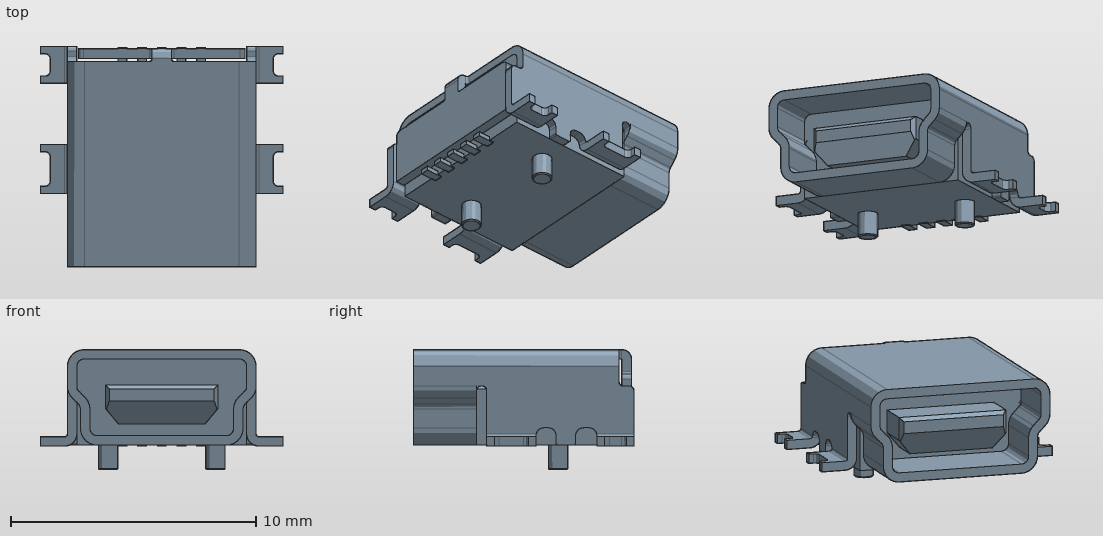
import cadquery as cq


SHEET = 0.39
BEND_OUTER = 0.69
BEND_INNER = BEND_OUTER - SHEET
SHELL_HALF = 3.85
SHELL_TOP = 3.94
SHELL_BOTTOM = 0.04
WAIST_STEP = 0.53
WAIST_HALF = SHELL_HALF - WAIST_STEP
WAIST_TOP = 2.17
WAIST_BOTTOM = WAIST_TOP - WAIST_STEP
INSIDE_HALF = SHELL_HALF - SHEET
INSIDE_TOP = SHELL_TOP - SHEET

MOUTH_LENGTH = 2.57
SLOT_END = 2.99
ROOF_END = 8.39
WALL_END = 9.0
WALL_STEP_Z = 2.46
WALL_STEP_RADIUS = 0.2

FOOT_TIP = 4.95
FOOT_BEND_INNER = 0.11
FOOT_BEND_OUTER = FOOT_BEND_INNER + SHEET
FRONT_FOOT = (SLOT_END, 5.0)
REAR_FOOT = (7.48, WALL_END)
NOTCH_DEPTH = 0.4
NOTCH_MARGIN = 0.31
NOTCH_RADIUS = 0.2
WALL_TAB = (5.82, 6.61)
TAB_CORNER = 0.08
RELIEF_TOP = 0.75
RELIEF_RADIUS = 0.33

FLAP_THICKNESS = 0.41
FLAP_BACK = 8.9
FLAP_FRONT = FLAP_BACK - FLAP_THICKNESS
FLAP_HALF = 3.4
FLAP_TOP = 2.94
FLAP_BOTTOM = 0.495
FLAP_CORNER = 0.21
NECK_HALF = 0.41
NECK_FILLET = 0.1
NECK_BEND = 0.4

BEVEL_BOTTOM = 2.34
GROOVE_LIP = 0.05
TONGUE_FRONT = 0.88
TONGUE_HALF = 2.3
TONGUE_TOP = 2.49
TONGUE_FLANK_BOTTOM = 1.54
TONGUE_BOTTOM = 0.91
TONGUE_BOTTOM_HALF = 1.77
TONGUE_CHAMFER = 0.16
RAMP_TOP = 1.84
RAMP_LENGTH = 0.33
PEG_X = 2.19
PEG_Y = 5.9
PEG_DIAMETER = 0.8
PEG_BOTTOM = -0.96
PEG_CHAMFER = 0.05
CONTACT_COUNT = 5
CONTACT_PITCH = 0.8
CONTACT_WIDTH = 0.37
CONTACT_THICKNESS = 0.2
CONTACT_END = 8.95


def block(x_range, y_range, z_range):
    """Axis-aligned box from three (low, high) pairs."""
    spans = (x_range, y_range, z_range)
    sizes = [high - low for low, high in spans]
    return cq.Workplane("XY").box(*sizes, centered=False).translate(tuple(low for low, _ in spans))


def along_y(points, y_start, y_end):
    """Prism of an XZ outline between two Y positions."""
    sketch = cq.Workplane("XZ", origin=(0, y_start, 0)).polyline(points).close()
    return sketch.extrude(y_start - y_end)


def both_sides(half):
    """A left-hand shape together with its mirror image across X = 0."""
    return half.union(half.mirror("YZ"))


def mirrored_outline(right_points):
    """Close a right-hand outline, listed top to bottom, with its mirror image."""
    return right_points + [(-x, z) for x, z in reversed(right_points)]


def mouth_tube():
    outline = mirrored_outline([
        (SHELL_HALF, SHELL_TOP),
        (SHELL_HALF, WAIST_TOP),
        (WAIST_HALF, WAIST_BOTTOM),
        (WAIST_HALF, SHELL_BOTTOM),
    ])
    inner_bends = cq.selectors.BoxSelector(
        (-SHELL_HALF, -0.1, WAIST_BOTTOM - 0.1), (SHELL_HALF, MOUTH_LENGTH + 0.1, WAIST_BOTTOM + 0.1)
    )
    solid = along_y(outline, 0, MOUTH_LENGTH)
    solid = solid.edges(inner_bends).edges("|Y").fillet(BEND_INNER)
    sharp_bends = cq.selectors.BoxSelector(
        (-SHELL_HALF - 0.1, 0, WAIST_TOP - 0.1), (SHELL_HALF + 0.1, MOUTH_LENGTH, SHELL_TOP + 0.1)
    )
    solid = solid.edges(sharp_bends).edges("|Y").fillet(BEND_OUTER)
    solid = solid.faces("<Z").edges("|Y").fillet(BEND_OUTER)
    opening = solid.faces("<Y").wires().toPending().offset2D(-SHEET).extrude(-MOUTH_LENGTH, combine=False)
    return solid.cut(opening)


def roof_and_walls():
    """Inverted U behind the mouth, with the roof shorter than the walls."""
    y_range = (MOUTH_LENGTH, WALL_END)
    outer = block((-SHELL_HALF, SHELL_HALF), y_range, (0, SHELL_TOP)).edges("|Y and >Z").fillet(BEND_OUTER)
    inner = block((-INSIDE_HALF, INSIDE_HALF), y_range, (0, INSIDE_TOP)).edges("|Y and >Z").fillet(BEND_INNER)
    side_outline = (
        cq.Workplane("YZ", origin=(-SHELL_HALF, 0, 0))
        .polyline([
            (MOUTH_LENGTH, 0),
            (WALL_END, 0),
            (WALL_END, WALL_STEP_Z),
            (ROOF_END, WALL_STEP_Z),
            (ROOF_END, SHELL_TOP),
            (MOUTH_LENGTH, SHELL_TOP),
        ])
        .close()
        .extrude(2 * SHELL_HALF)
    )
    at_step = cq.selectors.BoxSelector(
        (-SHELL_HALF, ROOF_END - 0.1, WALL_STEP_Z - 0.1), (SHELL_HALF, WALL_END + 0.1, WALL_STEP_Z + 0.1)
    )
    side_outline = side_outline.edges(at_step).edges("|X").fillet(WALL_STEP_RADIUS)
    return outer.cut(inner).intersect(side_outline)


def wall_cutouts():
    """Slot behind the tube and the two reliefs at the lower edge of the left wall."""
    wall_x = (-SHELL_HALF, -INSIDE_HALF)
    slot_radius = (SLOT_END - MOUTH_LENGTH) / 2
    slot = block(wall_x, (MOUTH_LENGTH, SLOT_END), (0, WALL_STEP_Z - slot_radius))
    slot_head = (
        cq.Workplane("YZ", origin=(-SHELL_HALF, 0, 0))
        .center(MOUTH_LENGTH + slot_radius, WALL_STEP_Z - slot_radius)
        .circle(slot_radius)
        .extrude(SHEET)
    )
    cutouts = slot.union(slot_head)
    for y_range in ((FRONT_FOOT[1], WALL_TAB[0]), (WALL_TAB[1], REAR_FOOT[0])):
        relief = block(wall_x, y_range, (0, RELIEF_TOP)).edges("|X and >Z").fillet(RELIEF_RADIUS)
        cutouts = cutouts.union(relief)
    return cutouts.union(block(wall_x, WALL_TAB, (0, SHELL_BOTTOM)))


def foot(y_range):
    """Left solder foot bent outward from the wall, with a notch in its tip."""
    bend_z = FOOT_BEND_OUTER
    flat_x = -SHELL_HALF - FOOT_BEND_INNER
    bent = (
        cq.Workplane("XZ", origin=(0, y_range[0], 0))
        .moveTo(-INSIDE_HALF, bend_z)
        .radiusArc((flat_x, 0), FOOT_BEND_OUTER)
        .lineTo(-FOOT_TIP, 0)
        .lineTo(-FOOT_TIP, SHEET)
        .lineTo(flat_x, SHEET)
        .radiusArc((-SHELL_HALF, bend_z), -FOOT_BEND_INNER)
        .close()
        .extrude(y_range[0] - y_range[1])
    )
    notch_y = (y_range[0] + NOTCH_MARGIN, y_range[1] - NOTCH_MARGIN)
    notch = block((-FOOT_TIP, NOTCH_DEPTH - FOOT_TIP), notch_y, (0, SHEET))
    notch = notch.edges("|Z and >X").fillet(NOTCH_RADIUS)
    return bent.cut(notch)


def rear_flap():
    """Flap hanging behind the roof from a narrow bent neck."""
    plate = block((-FLAP_HALF, FLAP_HALF), (FLAP_FRONT, FLAP_BACK), (FLAP_BOTTOM, FLAP_TOP))
    plate = plate.edges("|Y and >Z").fillet(FLAP_CORNER)
    neck = block((-NECK_HALF, NECK_HALF), (FLAP_FRONT, FLAP_BACK), (FLAP_TOP, SHELL_TOP))
    neck = neck.edges("|X and >Y and >Z").fillet(NECK_BEND)
    bridge = block((-NECK_HALF, NECK_HALF), (ROOF_END, FLAP_FRONT), (INSIDE_TOP, SHELL_TOP))
    flap = plate.union(neck).union(bridge)

    foot_of_neck = NECK_HALF + NECK_FILLET
    plate_gusset = (
        cq.Workplane("XZ", origin=(0, FLAP_FRONT, 0))
        .moveTo(-NECK_HALF, FLAP_TOP)
        .lineTo(-foot_of_neck, FLAP_TOP)
        .radiusArc((-NECK_HALF, FLAP_TOP + NECK_FILLET), -NECK_FILLET)
        .close()
        .extrude(-FLAP_THICKNESS)
    )
    roof_gusset = (
        cq.Workplane("XY", origin=(0, 0, INSIDE_TOP))
        .moveTo(-NECK_HALF, ROOF_END)
        .lineTo(-foot_of_neck, ROOF_END)
        .radiusArc((-NECK_HALF, ROOF_END + NECK_FILLET), -NECK_FILLET)
        .close()
        .extrude(SHEET)
    )
    return flap.union(both_sides(plate_gusset)).union(both_sides(roof_gusset))


def make_shell():
    body = roof_and_walls().cut(both_sides(wall_cutouts()))
    tab_underside = cq.selectors.BoxSelector(
        (-SHELL_HALF, WALL_TAB[0] - 0.1, 0), (SHELL_HALF, WALL_TAB[1] + 0.1, 2 * SHELL_BOTTOM)
    )
    body = body.edges(tab_underside).edges("|X").fillet(TAB_CORNER)
    for y_range in (FRONT_FOOT, REAR_FOOT):
        clearance = block((-SHELL_HALF, -INSIDE_HALF), y_range, (0, FOOT_BEND_OUTER))
        body = body.cut(both_sides(clearance)).union(both_sides(foot(y_range)))
    return body.union(mouth_tube()).union(rear_flap())


def insert_core():
    """Block that closes the shell behind the tube."""
    half_x = (-INSIDE_HALF, INSIDE_HALF)
    core = block(half_x, (MOUTH_LENGTH, ROOF_END), (SHELL_BOTTOM, INSIDE_TOP))
    core = core.edges("|Y and >Z").fillet(BEND_INNER)
    bevel = WALL_STEP_Z - BEVEL_BOTTOM
    groove_outline = [
        (-INSIDE_HALF, BEVEL_BOTTOM),
        (bevel - INSIDE_HALF, WALL_STEP_Z),
        (-INSIDE_HALF, WALL_STEP_Z),
    ]
    return core.cut(both_sides(along_y(groove_outline, MOUTH_LENGTH + GROOVE_LIP, SLOT_END)))


def tongue():
    """Contact tongue with a chamfered front and a ramp under its tip."""
    outline = mirrored_outline([
        (TONGUE_HALF, TONGUE_TOP),
        (TONGUE_HALF, TONGUE_FLANK_BOTTOM),
        (TONGUE_BOTTOM_HALF, TONGUE_BOTTOM),
    ])
    body = along_y(outline, TONGUE_FRONT, MOUTH_LENGTH)
    body = body.faces("<Y").edges(">Z or <X or >X").chamfer(TONGUE_CHAMFER)
    ramp = (
        cq.Workplane("YZ", origin=(-TONGUE_HALF, 0, 0))
        .polyline([
            (TONGUE_FRONT, RAMP_TOP),
            (TONGUE_FRONT + RAMP_LENGTH, TONGUE_BOTTOM),
            (TONGUE_FRONT, TONGUE_BOTTOM),
        ])
        .close()
        .extrude(2 * TONGUE_HALF)
    )
    return body.cut(ramp)


def peg(x):
    """Locating peg under the insert."""
    shaft = cq.Workplane("XY", origin=(x, PEG_Y, PEG_BOTTOM)).circle(PEG_DIAMETER / 2)
    shaft = shaft.extrude(SHELL_BOTTOM - PEG_BOTTOM)
    return shaft.faces("<Z").chamfer(PEG_CHAMFER)


def contact_tail(x):
    """Flat contact strip along the underside, reaching out behind the insert."""
    x_range = (x - CONTACT_WIDTH / 2, x + CONTACT_WIDTH / 2)
    return block(x_range, (ROOF_END - CONTACT_THICKNESS, CONTACT_END), (0, CONTACT_THICKNESS))


def make_insert():
    body = insert_core().union(tongue())
    for x in (-PEG_X, PEG_X):
        body = body.union(peg(x))
    for index in range(CONTACT_COUNT):
        body = body.union(contact_tail((index - (CONTACT_COUNT - 1) / 2) * CONTACT_PITCH))
    return body


shell = make_shell()
insert = make_insert()
result = cq.Compound.makeCompound([shell.val(), insert.val()])